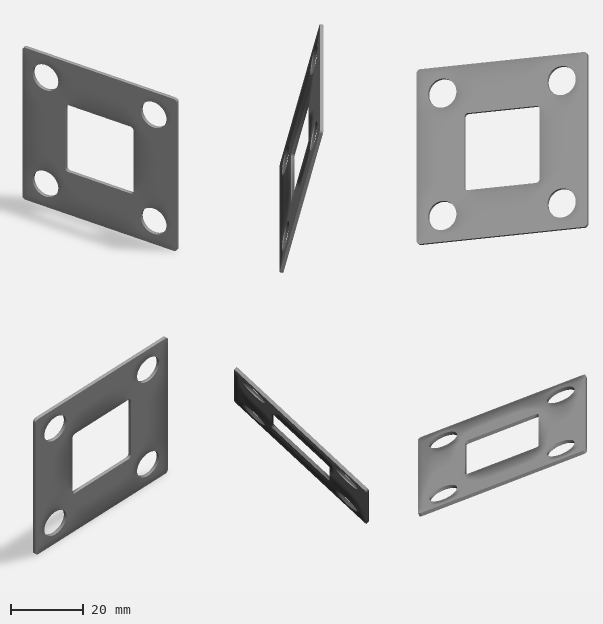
import cadquery as cq

plate_side = 50.0
plate_thickness = 1.0

window_side = 22.0

corner_radius = 1.0

hole_diameter = 8.3
hole_spacing = 35.0


def rounded_square_block(side):
    """Centred square block of plate thickness with its four edges along Y rounded."""
    return cq.Workplane("XY").box(side, plate_thickness, side).edges("|Y").fillet(corner_radius)


def hole_cutters():
    """Four cylinders along Y, one at each corner of the hole pattern."""
    return (
        cq.Workplane("XZ")
        .rect(hole_spacing, hole_spacing, forConstruction=True)
        .vertices()
        .circle(hole_diameter / 2)
        .extrude(plate_thickness / 2, both=True)
    )


plate = rounded_square_block(plate_side)
window = rounded_square_block(window_side)

result = plate.cut(window).cut(hole_cutters())